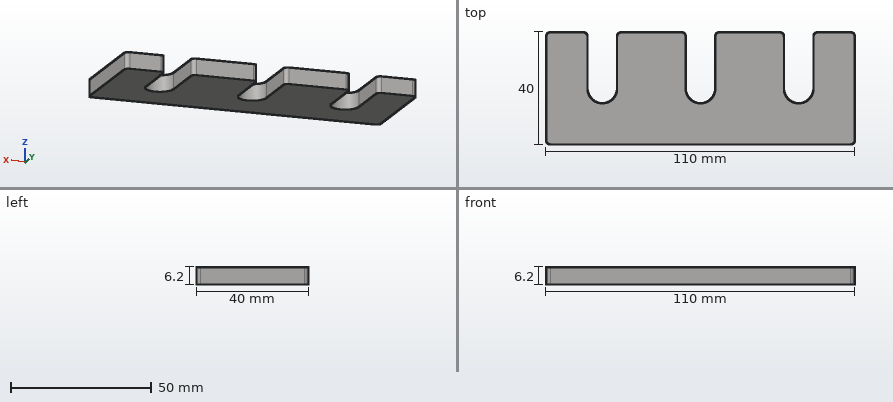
import cadquery as cq

length = 110.0
width = 40.0
thickness = 6.2
corner_radius = 1.5

slot_width = 10.5
slot_depth = 25.3
slot_pitch = 35.0
slot_count = 3

slot_radius = slot_width / 2
back_edge = width / 2
slot_end_center = back_edge - slot_depth + slot_radius


def slot_cutter(x):
    """Open-ended slot through the plate, centred on x."""
    return (
        cq.Workplane("XY")
        .moveTo(x - slot_radius, back_edge)
        .lineTo(x - slot_radius, slot_end_center)
        .threePointArc((x, back_edge - slot_depth), (x + slot_radius, slot_end_center))
        .lineTo(x + slot_radius, back_edge)
        .close()
        .extrude(thickness)
    )


plate = cq.Workplane("XY").box(length, width, thickness, centered=(True, True, False))
for index in range(slot_count):
    plate = plate.cut(slot_cutter((index - (slot_count - 1) / 2) * slot_pitch))

front_corners = plate.faces("<Y").edges("|Z")
back_corners = plate.faces(">Y").edges("|Z")
result = plate.newObject(front_corners.vals() + back_corners.vals()).fillet(corner_radius)